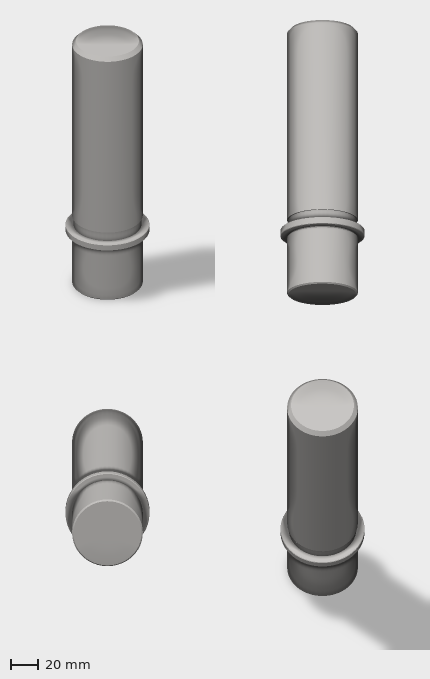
import cadquery as cq

total_length = 205.0
shaft_radius = 26.0

flange_radius = 31.0
flange_bottom = 44.7
flange_thickness = 5.1
flange_chamfer = 0.5

neck_radius = 25.0
neck_length = 7.5

undercut_radius = 25.0
undercut_length = 1.2

top_chamfer = 2.9
bottom_chamfer = 1.0


def cylinder(radius, bottom, top):
    """Solid cylinder about Z between two heights."""
    return cq.Workplane("XY").workplane(offset=bottom).circle(radius).extrude(top - bottom)


flange_top = flange_bottom + flange_thickness
neck_top = flange_top + neck_length
undercut_bottom = flange_bottom - undercut_length

spigot = cylinder(shaft_radius, 0, undercut_bottom).faces("<Z").chamfer(bottom_chamfer)

undercut = cylinder(undercut_radius, undercut_bottom, flange_bottom)
flange = cylinder(flange_radius, flange_bottom, flange_top).edges().chamfer(flange_chamfer)
neck = cylinder(neck_radius, flange_top, neck_top)

shaft = cylinder(shaft_radius, neck_top, total_length)
shaft = shaft.faces(">Z").chamfer(top_chamfer)

result = spigot.union(undercut).union(flange).union(neck).union(shaft)